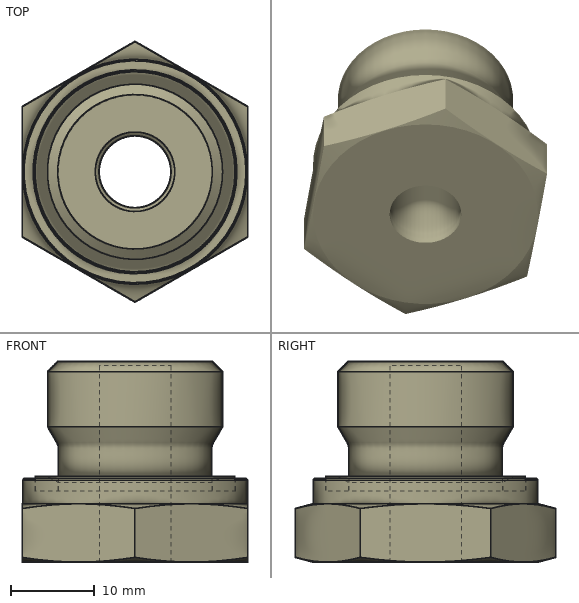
import cadquery as cq
import math

hex_corner_width = 31.18
hex_height = 6.98
hex_chamfer_angle = math.radians(15)
flange_diameter = 26.9
flange_top = 10.0
flange_chamfer = 0.2

total_height = 24.0
thread_diameter = 20.95
thread_tip_diameter = 18.5
thread_bottom = 16.2
neck_diameter = 18.4
runout_angle = math.radians(30)
runout_fillet = 1.2

bore_diameter = 8.57
bore_chamfer = 0.47

groove_diameter = 24.0
groove_depth = 1.5
groove_chamfer = 0.2
ring_diameter = 23.9
ring_bore_diameter = 18.5
ring_projection = 0.28
ring_cone_diameter = thread_diameter
ring_cone_depth = 0.72

groove_floor = flange_top - groove_depth
ring_height = groove_depth + ring_projection


def make_hexagon():
    """Hexagon with corners on Y, both ends trimmed by shallow cones."""
    prism = cq.Workplane("XY").polygon(6, hex_corner_width).extrude(hex_height)
    prism = prism.rotate((0, 0, 0), (0, 0, 1), 90)

    face_radius = flange_diameter / 2
    corner_radius = hex_corner_width / 2
    corner_drop = (corner_radius - face_radius) * math.tan(hex_chamfer_angle)
    envelope = (
        cq.Workplane("XZ")
        .moveTo(0, 0)
        .lineTo(face_radius, 0)
        .lineTo(corner_radius, corner_drop)
        .lineTo(corner_radius, hex_height - corner_drop)
        .lineTo(face_radius, hex_height)
        .lineTo(0, hex_height)
        .close()
        .revolve(360, (0, 0, 0), (0, 1, 0))
    )
    return prism.intersect(envelope)


def make_flange():
    flange = cq.Workplane("XY").circle(flange_diameter / 2).extrude(flange_top)
    return flange.faces(">Z").edges().chamfer(flange_chamfer)


def make_groove():
    """Annular seal recess around the neck, with a chamfered outer mouth."""
    neck_radius = neck_diameter / 2
    wall_radius = groove_diameter / 2
    return (
        cq.Workplane("XZ")
        .moveTo(neck_radius, groove_floor)
        .lineTo(wall_radius, groove_floor)
        .lineTo(wall_radius, flange_top - groove_chamfer)
        .lineTo(wall_radius + groove_chamfer, flange_top)
        .lineTo(neck_radius, flange_top)
        .close()
        .revolve(360, (0, 0, 0), (0, 1, 0))
    )


def make_threaded_end():
    """Neck, filleted runout cone, thread cylinder and chamfered tip."""
    neck_radius = neck_diameter / 2
    thread_radius = thread_diameter / 2
    tip_radius = thread_tip_diameter / 2
    tip_chamfer = thread_radius - tip_radius

    runout_height = (thread_radius - neck_radius) / math.tan(runout_angle)
    cone_corner = thread_bottom - runout_height
    fillet_tangent = runout_fillet * math.tan(runout_angle / 2)
    fillet_start = cone_corner - fillet_tangent
    fillet_center = neck_radius + runout_fillet

    def fillet_point(angle):
        return (
            fillet_center - runout_fillet * math.cos(angle),
            fillet_start + runout_fillet * math.sin(angle),
        )

    return (
        cq.Workplane("XZ")
        .moveTo(0, 0)
        .lineTo(neck_radius, 0)
        .lineTo(neck_radius, fillet_start)
        .threePointArc(fillet_point(runout_angle / 2), fillet_point(runout_angle))
        .lineTo(thread_radius, thread_bottom)
        .lineTo(thread_radius, total_height - tip_chamfer)
        .lineTo(tip_radius, total_height)
        .lineTo(0, total_height)
        .close()
        .revolve(360, (0, 0, 0), (0, 1, 0))
    )


def make_plug():
    base = make_hexagon().union(make_flange()).cut(make_groove())
    plug = base.union(make_threaded_end())
    bore = cq.Workplane("XY").circle(bore_diameter / 2).extrude(total_height)
    plug = plug.cut(bore)
    bore_rim = plug.faces(">Z").edges(cq.selectors.RadiusNthSelector(0))
    return bore_rim.chamfer(bore_chamfer)


def make_seal_ring():
    """Seal ring on the groove floor, with a conical lead-in at the top."""
    ring_top = groove_floor + ring_height
    bore_radius = ring_bore_diameter / 2
    outer_radius = ring_diameter / 2
    return (
        cq.Workplane("XZ")
        .moveTo(bore_radius, groove_floor)
        .lineTo(outer_radius, groove_floor)
        .lineTo(outer_radius, ring_top)
        .lineTo(ring_cone_diameter / 2, ring_top)
        .lineTo(bore_radius, ring_top - ring_cone_depth)
        .close()
        .revolve(360, (0, 0, 0), (0, 1, 0))
    )


plug = make_plug()
seal_ring = make_seal_ring()
result = cq.Compound.makeCompound([plug.solids().val(), seal_ring.val()])